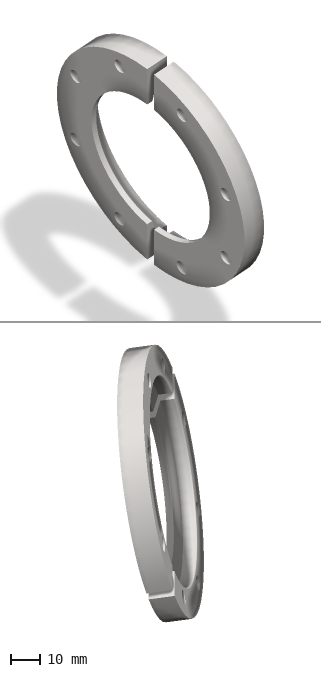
import math

import cadquery as cq

outer_diameter = 95.2
thickness = 9.2
split_gap = 3.5
front_y = -thickness / 2
back_y = thickness / 2

bore_diameter = 60.0
lip_thickness = 2.4
recess_diameter = 73.6
flank_angle = 15.0
edge_radius = 0.5

hole_diameter = 5.3
hole_count = 8
bolt_circle_diameter = 82.5
hole_pitch_angle = 360.0 / hole_count


def lipped_ring():
    """Full ring with the conical flank of the recess and its rounded inner edges."""
    outer_radius = outer_diameter / 2
    bore_radius = bore_diameter / 2
    recess_radius = recess_diameter / 2
    lip_back_y = front_y + lip_thickness
    flank_run = (recess_radius - bore_radius) * math.tan(math.radians(flank_angle))
    section = [
        (bore_radius, front_y),
        (outer_radius, front_y),
        (outer_radius, back_y),
        (recess_radius, back_y),
        (recess_radius, lip_back_y + flank_run),
        (bore_radius, lip_back_y),
    ]
    ring = cq.Workplane("XY").polyline(section).close().revolve(360, (0, 0, 0), (0, 1, 0))
    bore_edges = ring.edges(cq.selectors.RadiusNthSelector(0))
    lip_back_edge = bore_edges.edges(">Y")
    ring = lip_back_edge.fillet(edge_radius)
    recess_mouth_edge = ring.faces(">Y").edges(cq.selectors.RadiusNthSelector(0))
    return recess_mouth_edge.fillet(edge_radius)


def bolt_holes():
    """Through holes on the bolt circle, placed evenly about the split."""
    plane = cq.Workplane("XZ", origin=(0, front_y, 0))
    centres = plane.polarArray(bolt_circle_diameter / 2, hole_pitch_angle / 2, 360, hole_count)
    return centres.circle(hole_diameter / 2).extrude(-thickness)


def half_ring(side):
    """Half of the drilled ring: side is -1 for the -X half and +1 for the +X half."""
    half_width = outer_diameter / 2
    half_block = cq.Workplane("XY").box(half_width, thickness, outer_diameter)
    half_block = half_block.translate((side * (split_gap + half_width) / 2, 0, 0))
    return lipped_ring().cut(bolt_holes()).intersect(half_block).solids()


half_rings = [half_ring(side) for side in (-1, 1)]

result = cq.Compound.makeCompound([half.val() for half in half_rings])